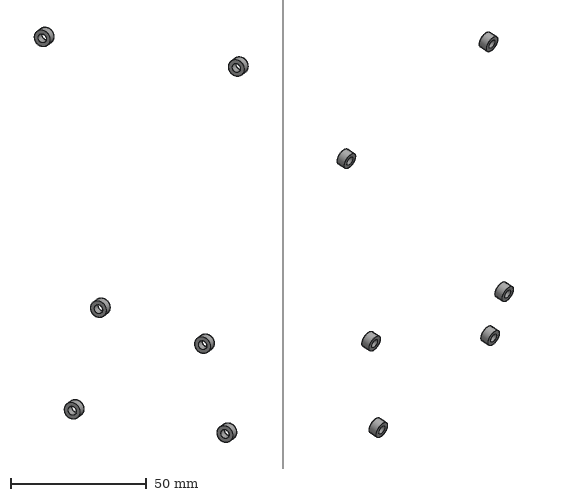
import cadquery as cq

OUTER_DIAMETER = 6.5
BORE_DIAMETER = 3.4
RING_LENGTH = 3.5

TOTAL_WIDTH = 84.8
TOTAL_DEPTH = 23.5
TOTAL_HEIGHT = 153.5

UPPER_SPACING = TOTAL_WIDTH - OUTER_DIAMETER
MIDDLE_SPACING = 51.1
LOWER_SPACING = 61.7

LOWER_Z = 0.0
MIDDLE_Z = 36.7
UPPER_Z = TOTAL_HEIGHT - OUTER_DIAMETER

FRONT_Y = 0.0
LOWER_Y = 8.3
REAR_Y = TOTAL_DEPTH - RING_LENGTH

RING_POSITIONS = [
    (-UPPER_SPACING / 2, FRONT_Y, UPPER_Z),
    (UPPER_SPACING / 2, FRONT_Y, UPPER_Z),
    (-MIDDLE_SPACING / 2, REAR_Y, MIDDLE_Z),
    (MIDDLE_SPACING / 2, FRONT_Y, MIDDLE_Z),
    (-LOWER_SPACING / 2, LOWER_Y, LOWER_Z),
    (LOWER_SPACING / 2, LOWER_Y, LOWER_Z),
]


def make_spacer_ring(front_centre):
    """Plain ring with a through bore, running toward +Y from its front face."""
    return (
        cq.Workplane("XZ", origin=front_centre)
        .circle(OUTER_DIAMETER / 2)
        .circle(BORE_DIAMETER / 2)
        .extrude(-RING_LENGTH)
    )


spacer_rings = [make_spacer_ring(position) for position in RING_POSITIONS]

result = cq.Compound.makeCompound([ring.val() for ring in spacer_rings])